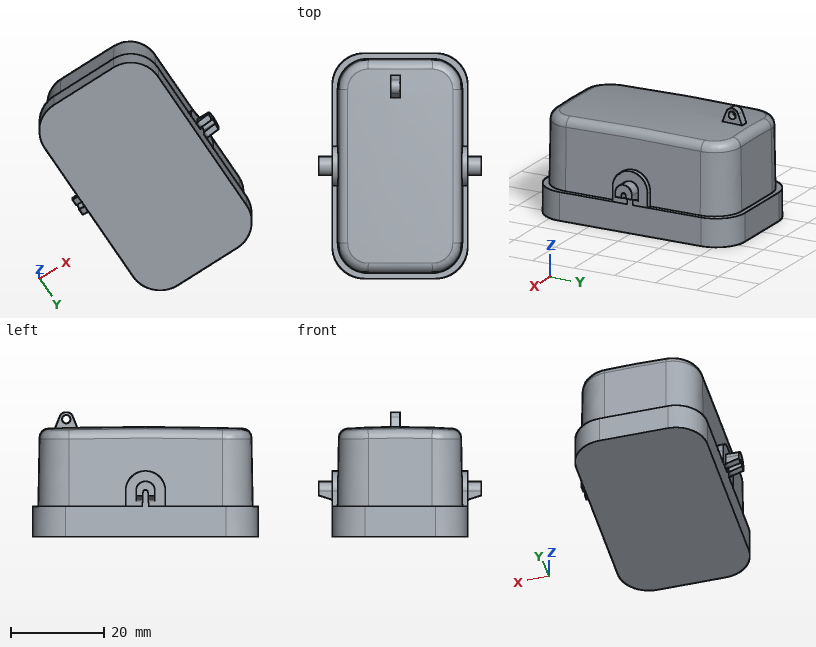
import cadquery as cq
import math

FLANGE_WIDTH = 29.15
FLANGE_LENGTH = 48.45
FLANGE_HEIGHT = 6.55
FLANGE_CORNER = 6.95
FLANGE_DRAFT = 0.2

BODY_WIDTH = 26.85
BODY_LENGTH = 46.05
BODY_CORNER = 6.6
BODY_DRAFT = 1.0
BODY_TOP_FILLET = 2.05

ROOF_PEAK = 23.65
ROOF_RADIUS_X = 164.65
ROOF_RADIUS_Y = 581.15

PIVOT_HEIGHT = 9.9
PAD_RADIUS = 4.25
PEG_RADIUS = 2.05
PEG_SPAN = 34.9
PEG_END_BOTTOM = 8.85
PEG_ROOT_BOTTOM = 7.95
PEG_ROOT_FILLET = 0.3
GROOVE_TOP = 10.05
GROOVE_TOP_RADIUS = 0.55
GROOVE_FOOT_HALF_WIDTH = 0.7
GROOVE_FOOT_FLARE = 0.15

LUG_TOP = 26.8
LUG_THICKNESS = 2.0
LUG_Y = 17.0
LUG_RADIUS = 1.55
LUG_HOLE_RADIUS = 0.85
LUG_FOOT_HALF_WIDTH = 2.4
LUG_FOOT_HEIGHT = 23.3

EMBED = 1.45


def rounded_block(width, length, corner, height, draft, base):
    """Rounded rectangle at z = base, drawn inwards by the draft as it rises."""
    outline = cq.Sketch().rect(width, length).vertices().fillet(corner)
    return cq.Workplane("XY").workplane(offset=base).placeSketch(outline).extrude(height, taper=draft)


def make_flange(height):
    return rounded_block(FLANGE_WIDTH, FLANGE_LENGTH, FLANGE_CORNER, height, FLANGE_DRAFT, 0)


def make_roof_limit():
    """Solid below the crowned roof, large enough to cover the body."""
    half_width = BODY_WIDTH / 2 + EMBED
    half_sweep = math.degrees(math.asin((BODY_LENGTH / 2 + EMBED) / ROOF_RADIUS_Y))
    edge_z = ROOF_PEAK - ROOF_RADIUS_X + math.sqrt(ROOF_RADIUS_X**2 - half_width**2)
    axis_z = ROOF_PEAK - ROOF_RADIUS_Y
    section = (
        cq.Workplane("XZ")
        .moveTo(-half_width, 0)
        .lineTo(-half_width, edge_z)
        .threePointArc((0, ROOF_PEAK), (half_width, edge_z))
        .lineTo(half_width, 0)
        .close()
    )
    swept = section.revolve(2 * half_sweep, (0, axis_z, 0), (1, axis_z, 0))
    return swept.rotate((0, 0, axis_z), (1, 0, axis_z), -half_sweep)


def make_body():
    block = rounded_block(
        BODY_WIDTH, BODY_LENGTH, BODY_CORNER, ROOF_PEAK - FLANGE_HEIGHT + EMBED, BODY_DRAFT, FLANGE_HEIGHT
    )
    crowned = block.intersect(make_roof_limit())
    return crowned.faces(">Z").edges().fillet(BODY_TOP_FILLET)


def make_pad():
    """Arched pad on the +X side, its face level with the foot of the flange."""
    inner_x = BODY_WIDTH / 2 - EMBED
    straight = PIVOT_HEIGHT - FLANGE_HEIGHT
    return (
        cq.Workplane("YZ", origin=(inner_x, 0, FLANGE_HEIGHT))
        .moveTo(-PAD_RADIUS, 0)
        .lineTo(-PAD_RADIUS, straight)
        .threePointArc((0, straight + PAD_RADIUS), (PAD_RADIUS, straight))
        .lineTo(PAD_RADIUS, 0)
        .close()
        .extrude(FLANGE_WIDTH / 2 - inner_x)
    )


def make_peg():
    """Round-topped peg with flat flanks and an underside sloping up to its tip."""
    root_x = FLANGE_WIDTH / 2
    tip_x = PEG_SPAN / 2
    arch = (
        cq.Workplane("YZ", origin=(root_x, 0, PIVOT_HEIGHT))
        .moveTo(-PEG_RADIUS, PEG_ROOT_BOTTOM - PIVOT_HEIGHT)
        .lineTo(-PEG_RADIUS, 0)
        .threePointArc((0, PEG_RADIUS), (PEG_RADIUS, 0))
        .lineTo(PEG_RADIUS, PEG_ROOT_BOTTOM - PIVOT_HEIGHT)
        .close()
        .extrude(tip_x - root_x)
    )
    underside_wedge = (
        cq.Workplane("XZ")
        .polyline([(root_x, PEG_ROOT_BOTTOM), (tip_x, PEG_END_BOTTOM), (tip_x, PEG_ROOT_BOTTOM)])
        .close()
        .extrude(PEG_RADIUS, both=True)
    )
    return arch.cut(underside_wedge)


def make_groove():
    """Groove through the peg, widening downwards, its floor continuing the flange's drafted side."""
    flare_half_width = GROOVE_FOOT_HALF_WIDTH + GROOVE_FOOT_FLARE
    spring_z = GROOVE_TOP - GROOVE_TOP_RADIUS
    slot = (
        cq.Workplane("YZ", origin=(BODY_WIDTH / 2, 0, 0))
        .moveTo(-flare_half_width, FLANGE_HEIGHT)
        .lineTo(-GROOVE_FOOT_HALF_WIDTH, FLANGE_HEIGHT + GROOVE_FOOT_FLARE)
        .lineTo(-GROOVE_TOP_RADIUS, spring_z)
        .threePointArc((0, GROOVE_TOP), (GROOVE_TOP_RADIUS, spring_z))
        .lineTo(GROOVE_FOOT_HALF_WIDTH, FLANGE_HEIGHT + GROOVE_FOOT_FLARE)
        .lineTo(flare_half_width, FLANGE_HEIGHT)
        .close()
        .extrude((PEG_SPAN - BODY_WIDTH) / 2)
    )
    return slot.cut(make_flange(GROOVE_TOP + EMBED))


def make_pivot():
    """Pad and peg with a small fillet under the peg's root, split by the groove."""
    root_corner = (FLANGE_WIDTH / 2, 0, PEG_ROOT_BOTTOM)
    solid = make_pad().union(make_peg())
    filleted = solid.edges(cq.selectors.NearestToPointSelector(root_corner)).fillet(PEG_ROOT_FILLET)
    return filleted.cut(make_groove())


def make_lug():
    """Ear whose flanks run tangent from the round head down to a wider foot."""
    eye_z = LUG_TOP - LUG_RADIUS
    drop = eye_z - LUG_FOOT_HEIGHT
    foot_distance = math.hypot(LUG_FOOT_HALF_WIDTH, drop)
    tangent_angle = math.acos(LUG_RADIUS / foot_distance) - math.atan2(drop, LUG_FOOT_HALF_WIDTH)
    tangent_y = LUG_RADIUS * math.cos(tangent_angle)
    tangent_z = LUG_RADIUS * math.sin(tangent_angle)
    return (
        cq.Workplane("YZ", origin=(-LUG_THICKNESS, LUG_Y, eye_z))
        .moveTo(-LUG_FOOT_HALF_WIDTH, -drop - EMBED)
        .lineTo(-LUG_FOOT_HALF_WIDTH, -drop)
        .lineTo(-tangent_y, tangent_z)
        .threePointArc((0, LUG_RADIUS), (tangent_y, tangent_z))
        .lineTo(LUG_FOOT_HALF_WIDTH, -drop)
        .lineTo(LUG_FOOT_HALF_WIDTH, -drop - EMBED)
        .close()
        .moveTo(0, 0)
        .circle(LUG_HOLE_RADIUS)
        .extrude(LUG_THICKNESS)
    )


pivot = make_pivot()

result = make_flange(FLANGE_HEIGHT).union(make_body()).union(make_lug())
for side_pivot in (pivot, pivot.mirror("YZ")):
    result = result.union(side_pivot)